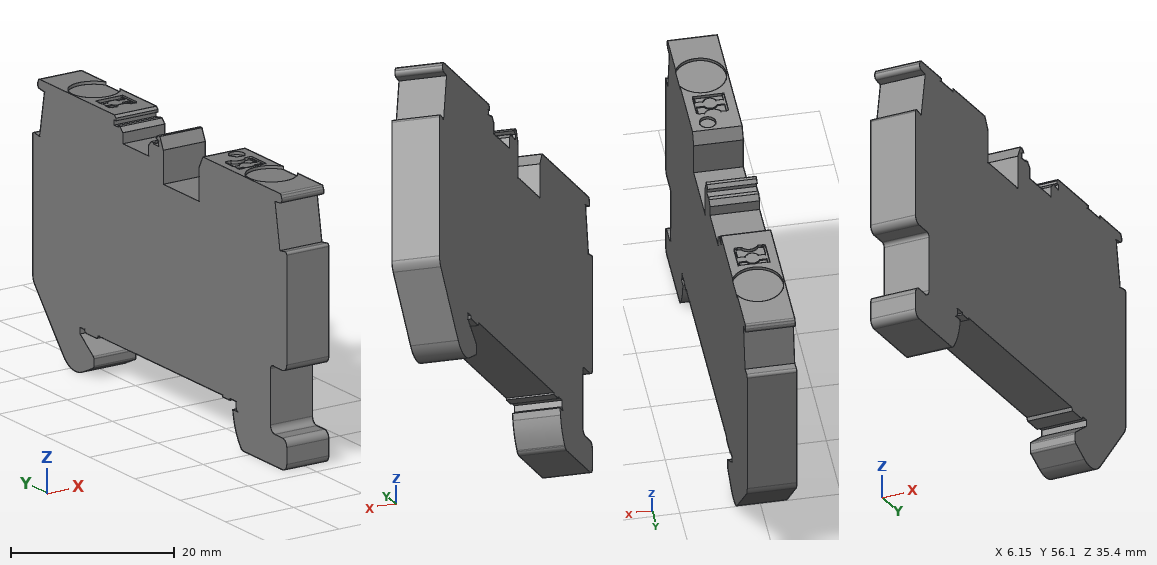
import cadquery as cq
import math

thickness = 6.15
length = 56.1
height = 35.4
end_y = length / 2
side_x = thickness / 2

shoulder_z = 28.3
shoulder_inner_z = 28.05
shoulder_inner_y = 26.55
shoulder_radius = 0.35
neck_top_y = 25.45
neck_top_z = 34.05
lip_tip_y = 27.2
lip_tip_z = 34.3
lip_tip_radius = 0.5
lip_top_y = 26.7
lip_top_radius = 0.3

groove_floor_z = 32.2
groove_near_y = 8.15
groove_far_y = 2.45
bevel_size = 0.6
rim_z = 34.2
rim_width = 0.5
ledge_z = 34.05
catch_z = 34.7
near_catch_wall_y = 10.1
near_catch_tip_y = 9.65
near_catch_chamfer = 0.35
far_catch_wall_y = 0.3
far_catch_tip_y = 0.85
far_catch_tip_z = 35.0
finger_top_y = 0.4
finger_top_width = 0.45

gap_floor_z = 29.45
gap_near_y = -0.8
gap_far_y = -8.7
gap_bevel_z = 33.85
gap_bevel_top_y = -9.55

notch_top_z = 12.8
notch_bottom_z = 4.1
notch_wall_y = -24.45
notch_top_radius = 0.5
foot_radius = 0.95
foot_heel_y = -18.1
foot_heel_radius = 0.85
foot_flank_y = -16.6
foot_flank_z = 1.95
foot_flank_radius = 7.85
foot_toe_y = -16.1
foot_toe_z = 4.7

seat_z = 5.95
relief_y = -16.85
relief_deep_y = -17.15
relief_chamfer_z = 5.1
small_pad_z = 5.7
small_pad_ends = (-15.5, -13.85)
large_pad_z = 5.55
large_pad_ends = (13.6, 16.65)
large_pad_chamfer = 0.3
seat_end_y = 17.55

hook_throat_z = 5.1
hook_nose_y = 14.55
hook_nose_top_z = 2.9
hook_nose_bottom_z = 1.55
hook_nose_radius = 0.35
hook_lower_angle = math.radians(26.1)
slope_angle = math.radians(49.4)
slope_start_z = 9.2
slope_start_radius = 1.95

recess_depth = 0.4
button_radius = 3.2
button_x = 0.3
button_y = 19.6
test_hole_diameter = 2.0
test_hole_x = 0.95
test_hole_y = -10.95

symbol_plus_y = 14.5
symbol_minus_y = -14.6
symbol_half_width = 1.95
symbol_outer_edge = 1.3
symbol_inner_edge = 1.95
symbol_corner_radius = 0.3
symbol_side_step = 0.2
bar_width = 0.85
bar_depth = 0.2
bar_disc_radius = 0.925
scallop_radius = 1.25
scallop_offset = 2.65


def upper_end(side):
    """Corners (y, z, radius) from the shoulder up to the top face; side is +1 or -1."""
    return [
        (side * end_y, shoulder_z, shoulder_radius),
        (side * shoulder_inner_y, shoulder_inner_z, 0),
        (side * neck_top_y, neck_top_z, 0),
        (side * lip_tip_y, lip_tip_z, lip_tip_radius),
        (side * lip_top_y, height, lip_top_radius),
    ]


def marker_groove():
    return [
        (near_catch_tip_y + near_catch_chamfer, height, 0),
        (near_catch_tip_y, height - near_catch_chamfer, 0),
        (near_catch_tip_y, catch_z, 0),
        (near_catch_wall_y, catch_z, 0),
        (near_catch_wall_y, ledge_z, 0),
        (groove_near_y + bevel_size + rim_width, ledge_z, 0),
        (groove_near_y + bevel_size + rim_width, rim_z, 0),
        (groove_near_y + bevel_size, rim_z, 0),
        (groove_near_y, rim_z - bevel_size, 0),
        (groove_near_y, groove_floor_z, 0),
        (groove_far_y, groove_floor_z, 0),
        (groove_far_y, rim_z - bevel_size, 0),
        (groove_far_y - bevel_size, rim_z, 0),
        (groove_far_y - bevel_size - rim_width, rim_z, 0),
        (groove_far_y - bevel_size - rim_width, ledge_z, 0),
        (far_catch_wall_y, ledge_z, 0),
        (far_catch_wall_y, catch_z, 0),
        (far_catch_tip_y, far_catch_tip_z, 0),
        (finger_top_y, height, 0),
        (finger_top_y - finger_top_width, height, 0),
    ]


def deep_gap():
    return [
        (gap_near_y, gap_bevel_z, 0),
        (gap_near_y, gap_floor_z, 0),
        (gap_far_y, gap_floor_z, 0),
        (gap_far_y, gap_bevel_z, 0),
        (gap_bevel_top_y, height, 0),
    ]


def clip_foot():
    return [
        (-end_y, notch_top_z, foot_radius),
        (notch_wall_y, notch_top_z, notch_top_radius),
        (notch_wall_y, notch_bottom_z, foot_radius),
        (-end_y, notch_bottom_z, foot_radius),
        (-end_y, 0, foot_radius),
        (foot_heel_y, 0, foot_heel_radius),
        (foot_flank_y, foot_flank_z, foot_flank_radius),
        (foot_toe_y, foot_toe_z, 0),
    ]


def rail_seat():
    small_start, small_end = small_pad_ends
    large_start, large_end = large_pad_ends
    return [
        (relief_deep_y, foot_toe_z, 0),
        (relief_y, relief_chamfer_z, 0),
        (relief_y, seat_z, 0),
        (small_start, seat_z, 0),
        (small_start, small_pad_z, 0),
        (small_end, small_pad_z, 0),
        (small_end, seat_z, 0),
        (large_start, seat_z, 0),
        (large_start + large_pad_chamfer, large_pad_z, 0),
        (large_end - large_pad_chamfer, large_pad_z, 0),
        (large_end, seat_z, 0),
        (seat_end_y, seat_z, 0),
    ]


def hook():
    slope = math.tan(slope_angle)
    lower_slope = math.tan(hook_lower_angle)
    drop = slope_start_z - slope * end_y
    lower_drop = hook_nose_bottom_z + lower_slope * hook_nose_y
    corner_y = (lower_drop - drop) / (slope + lower_slope)
    corner_z = slope * corner_y + drop
    slope_reach = 1 / math.cos(slope_angle)
    lower_reach = 1 / math.cos(hook_lower_angle)
    lean = lower_slope * (slope_reach - lower_reach) / (slope + lower_slope)
    round_radius = corner_z / (1 - lower_reach - lean)
    return [
        (seat_end_y, hook_throat_z, 0),
        (hook_nose_y, hook_nose_top_z, hook_nose_radius),
        (hook_nose_y, hook_nose_bottom_z, hook_nose_radius),
        (corner_y, corner_z, round_radius),
        (end_y, slope_start_z, slope_start_radius),
    ]


def rounded_outline(plane, corners):
    """Closed outline through the corners, each rounded by its own tangent arc."""
    points = [cq.Vector(u, v, 0) for u, v, _ in corners]
    stretches = []
    for i, corner in enumerate(points):
        radius = corners[i][2]
        to_previous = (points[i - 1] - corner).normalized()
        to_next = (points[(i + 1) % len(points)] - corner).normalized()
        if radius == 0:
            stretches.append([corner])
            continue
        half_angle = to_previous.getAngle(to_next) / 2
        setback = radius / math.tan(half_angle)
        reach = radius / math.sin(half_angle) - radius
        bisector = (to_previous + to_next).normalized()
        stretches.append([
            corner + to_previous * setback,
            corner + bisector * reach,
            corner + to_next * setback,
        ])
    start = stretches[0][0]
    outline = cq.Workplane(plane).moveTo(start.x, start.y)
    for i, stretch in enumerate(stretches):
        if i > 0:
            outline = outline.lineTo(stretch[0].x, stretch[0].y)
        if len(stretch) > 1:
            middle, end = stretch[1:]
            outline = outline.threePointArc((middle.x, middle.y), (end.x, end.y))
    return outline.close()


def housing():
    corners = upper_end(1)
    corners += marker_groove()
    corners += deep_gap()
    corners += reversed(upper_end(-1))
    corners += clip_foot()
    corners += rail_seat()
    corners += hook()
    return rounded_outline("YZ", corners).extrude(side_x, both=True)


def round_recess(x, y, radius):
    return cq.Workplane("XY", (x, y, height - recess_depth)).circle(radius).extrude(recess_depth)


def symbol_pocket():
    """Cutter centred on Y = 0 with its scalloped edge towards -Y."""

    def block(half_width, depth):
        corners = [
            (-half_width, symbol_outer_edge, 0),
            (half_width, symbol_outer_edge, 0),
            (half_width, -symbol_inner_edge, symbol_corner_radius),
            (-half_width, -symbol_inner_edge, symbol_corner_radius),
        ]
        return rounded_outline("XY", corners).extrude(-depth).translate((0, 0, height))

    floor = cq.Workplane("XY", (0, 0, height - recess_depth))
    raised = recess_depth - bar_depth
    bar = floor.rect(2 * symbol_half_width, bar_width).extrude(raised)
    disc = floor.circle(bar_disc_radius).extrude(raised)
    scallop = floor.center(0, -scallop_offset).circle(scallop_radius).extrude(recess_depth)
    deep = block(symbol_half_width - symbol_side_step, recess_depth)
    shallow = block(symbol_half_width, bar_depth)
    return deep.union(shallow).cut(bar).cut(disc).cut(scallop)


result = housing()
for side in (1, -1):
    result = result.cut(round_recess(button_x, side * button_y, button_radius))
result = result.cut(round_recess(test_hole_x, test_hole_y, test_hole_diameter / 2))
symbol = symbol_pocket()
result = result.cut(symbol.translate((0, symbol_plus_y, 0)))
result = result.cut(symbol.mirror("XZ").translate((0, symbol_minus_y, 0)))